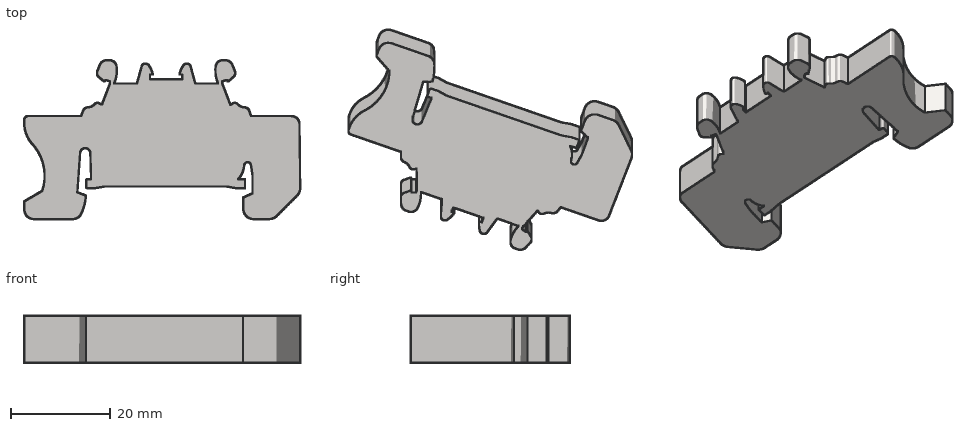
import cadquery as cq

length = 55.6
thickness = 9.5
total_height = 32.0

shoulder_y = 20.8
right_top_x = 55.45
right_lean_end_y = 6.4
chamfer_start_y = 5.4
chamfer_end_x = length - chamfer_start_y

seat_y = 6.55
ledge_bottom_y = 6.2
ledge_top_y = 8.05
left_ledge_x = 12.45
right_ledge_x = 44.5
pad_length = 1.85
ramp_length = 1.9

foot_top_y = 3.6
neck_x = 3.6
neck_y = 5.7
left_hook_x = left_ledge_x
left_hook_y = 4.8
right_hook_x = 44.1
right_hook_y = 4.4
right_slot_x = 45.9

left_slot_center_x = 12.3
left_slot_radius = 1.0
left_slot_top_y = 14.3
left_slot_spring_y = left_slot_top_y - left_slot_radius
right_slot_center_x = 45.0
right_slot_radius = 0.65
right_slot_top_y = 11.45
right_slot_spring_y = right_slot_top_y - right_slot_radius

crown_x = 28.6
crown_base_half = 17.1
notch_floor_y = 27.35
middle_floor_y = 28.2
prong_top_y = 31.35
flank_top_half = 11.35
prong_inner_half = 3.2
barb_half = 2.65
barb_y = 29.15


def housing():
    """Main plate with both rail feet, the spring slots and the finger recess."""
    outline = (
        cq.Workplane("XY")
        .moveTo(0, 0)
        .lineTo(0, foot_top_y)
        .lineTo(neck_x, neck_y)
        .threePointArc((3.65, 11.55), (1.4, 15.4))
        .threePointArc((0.45, 17.0), (0, 18.85))
        .lineTo(0, shoulder_y)
        .lineTo(right_top_x, shoulder_y)
        .lineTo(length, right_lean_end_y)
        .lineTo(length, chamfer_start_y)
        .lineTo(chamfer_end_x, 0)
        .lineTo(right_hook_x, 0)
        .lineTo(right_hook_x, right_hook_y)
        .lineTo(right_slot_x, 5.2)
        .lineTo(right_slot_x, 9.0)
        .lineTo(right_slot_center_x + right_slot_radius, right_slot_spring_y)
        .threePointArc(
            (right_slot_center_x, right_slot_top_y),
            (right_slot_center_x - right_slot_radius, right_slot_spring_y),
        )
        .threePointArc((43.9, 9.3), (43.1, ledge_top_y))
        .lineTo(right_ledge_x, ledge_top_y)
        .lineTo(right_ledge_x, ledge_bottom_y)
        .lineTo(right_ledge_x - pad_length, ledge_bottom_y)
        .lineTo(right_ledge_x - pad_length - ramp_length, seat_y)
        .lineTo(left_ledge_x + pad_length + ramp_length, seat_y)
        .lineTo(left_ledge_x + pad_length, ledge_bottom_y)
        .lineTo(left_ledge_x, ledge_bottom_y)
        .lineTo(left_ledge_x, ledge_top_y)
        .lineTo(13.45, ledge_top_y)
        .lineTo(left_slot_center_x + left_slot_radius, left_slot_spring_y)
        .threePointArc(
            (left_slot_center_x, left_slot_top_y),
            (left_slot_center_x - left_slot_radius, left_slot_spring_y),
        )
        .lineTo(10.75, 5.45)
        .lineTo(left_hook_x, left_hook_y)
        .threePointArc((12.1, 2.7), (11.35, 0.8))
        .threePointArc((10.55, 0.15), (9.55, 0))
        .close()
    )
    return outline.extrude(thickness)


def round_corner(body, x, y, radius):
    """Round the upright edge that stands at (x, y)."""
    edge = cq.selectors.NearestToPointSelector((x, y, thickness / 2))
    return body.edges("|Z").edges(edge).fillet(radius)


def crown_half():
    """Right half of the crown, with x measured from the crown axis."""
    outline = (
        cq.Workplane("XY")
        .moveTo(0, shoulder_y)
        .lineTo(crown_base_half, shoulder_y)
        .lineTo(16.8, 21.75)
        .threePointArc((16.35, 22.35), (15.6, 22.6))
        .threePointArc((14.9, 22.8), (14.35, 23.25))
        .threePointArc((13.85, 23.45), (13.35, 23.3))
        .lineTo(12.95, 23.1)
        .lineTo(flank_top_half, 27.3)
        .lineTo(flank_top_half, 27.75)
        .lineTo(12.25, 28.0)
        .lineTo(12.45, 27.7)
        .lineTo(13.5, 28.6)
        .threePointArc((13.9, 29.15), (13.9, 29.75))
        .lineTo(13.35, 31.15)
        .threePointArc((12.85, 31.75), (12.05, total_height))
        .lineTo(11.1, total_height)
        .threePointArc((10.35, 31.6), (9.95, 30.8))
        .threePointArc((9.95, 29.0), (10.45, notch_floor_y))
        .lineTo(5.9, notch_floor_y)
        .lineTo(5.0, 30.6)
        .threePointArc((4.2, prong_top_y), (3.4, 30.85))
        .threePointArc((2.95, 30.1), (barb_half, barb_y))
        .lineTo(prong_inner_half, barb_y)
        .lineTo(prong_inner_half, middle_floor_y)
        .lineTo(0, middle_floor_y)
        .close()
    )
    return outline.extrude(thickness)


rounded_corners = [
    (0, 0, 2.0),
    (0, shoulder_y, 0.8),
    (right_top_x, shoulder_y, 1.65),
    (length, chamfer_start_y, 2.2),
    (chamfer_end_x, 0, 2.2),
    (right_hook_x, 0, 2.1),
    (left_ledge_x, ledge_bottom_y, 0.4),
    (left_ledge_x, ledge_top_y, 0.3),
]

plate = housing()
for corner_x, corner_y, corner_radius in rounded_corners:
    plate = round_corner(plate, corner_x, corner_y, corner_radius)

right_half = crown_half()
crown = right_half.union(right_half.mirror("YZ")).translate((crown_x, 0, 0))

result = plate.union(crown).clean()